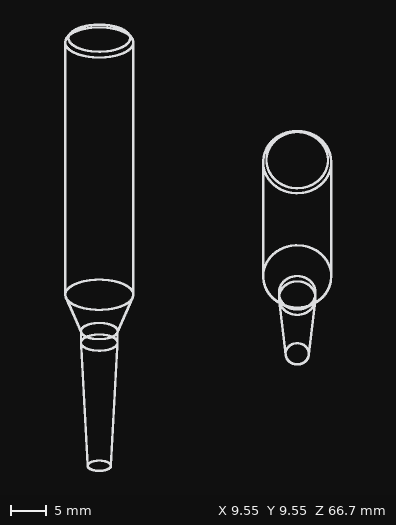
import cadquery as cq

total_length = 66.7
shank_diameter = 9.55
neck_diameter = 5.15
tip_diameter = 3.3

end_chamfer_length = 0.7
end_chamfer_depth = 0.5
shank_length = 40.0
shoulder_length = 5.7
neck_length = 1.8

shoulder_top = total_length - shank_length
neck_top = shoulder_top - shoulder_length
cutter_top = neck_top - neck_length

shank_radius = shank_diameter / 2
neck_radius = neck_diameter / 2
tip_radius = tip_diameter / 2


def revolve_about_z(profile):
    """Turn a closed (radius, height) profile about the Z axis."""
    return cq.Workplane("XZ").polyline(profile).close().revolve(360, (0, 0), (0, 1))


def make_shank():
    """Cylindrical shank with a chamfered end, conical shoulder and short neck."""
    return revolve_about_z([
        (0, cutter_top),
        (neck_radius, cutter_top),
        (neck_radius, neck_top),
        (shank_radius, shoulder_top),
        (shank_radius, total_length - end_chamfer_length),
        (shank_radius - end_chamfer_depth, total_length),
        (0, total_length),
    ])


def make_cutter():
    """Tapered cutter that meets the neck end to end."""
    return revolve_about_z([
        (0, 0),
        (tip_radius, 0),
        (neck_radius, cutter_top),
        (0, cutter_top),
    ])


shank = make_shank()
cutter = make_cutter()

result = cq.Compound.makeCompound([shank.val(), cutter.val()])